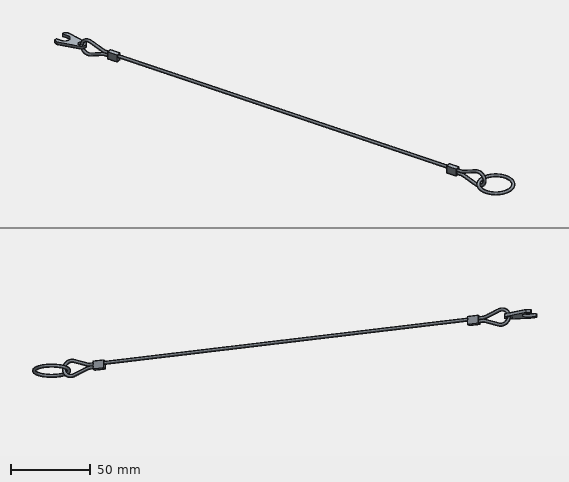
import cadquery as cq
import math

OVERALL_LENGTH = 339.28

WIRE_DIA = 2.0
LOOP_HEIGHT = 12.0
LOOP_TIP_X = 152.0
LOOP_TAPER_ANGLE = 20.5
LEG_BEND_RADIUS = 6.0

SLEEVE_LENGTH = 7.2
SLEEVE_WIDTH = 3.3
SLEEVE_HEIGHT = 5.2
SLEEVE_INNER_X = 123.5

RING_OUTER_DIA = 24.0
RING_WIRE_DIA = 2.0
RING_END_X = 171.4

FORK_THICKNESS = 2.0
FORK_HALF_WIDTH = 6.6
FORK_SHOULDER = 2.5
PRONG_TIP_HALF_WIDTH = 5.4
SLOT_WIDTH = 7.0
SLOT_DEPTH = 7.5
EYE_DIA = 3.8
EYE_DISTANCE = 16.3
EYE_END_RADIUS = 3.4

FORK_TIP_X = RING_END_X - OVERALL_LENGTH
strand_z = WIRE_DIA / 2


def polar(radius, angle):
    """Point at the given radius and angle (degrees) about the origin."""
    return radius * math.cos(math.radians(angle)), radius * math.sin(math.radians(angle))


def loop_wire():
    """Wire of the +X loop: out along the upper strand, round the tip, back along the lower one."""
    bow_radius = (LOOP_HEIGHT - WIRE_DIA) / 2
    bow_x = LOOP_TIP_X - LOOP_HEIGHT / 2
    normal_angle = 90 + LOOP_TAPER_ANGLE
    normal_x, normal_z = polar(1, normal_angle)
    leg_end = (bow_x + bow_radius * normal_x, bow_radius * normal_z)
    bend_z = strand_z + LEG_BEND_RADIUS
    leg_start_z = bend_z - LEG_BEND_RADIUS * normal_z
    leg_start_x = leg_end[0] - (leg_end[1] - leg_start_z) / math.tan(math.radians(LOOP_TAPER_ANGLE))
    bend_x = leg_start_x + LEG_BEND_RADIUS * normal_x
    mid_x, mid_z = polar(LEG_BEND_RADIUS, LOOP_TAPER_ANGLE / 2 - 90)
    bend_mid = (bend_x + mid_x, bend_z + mid_z)
    path = (
        cq.Workplane("XZ")
        .moveTo(SLEEVE_INNER_X, strand_z)
        .lineTo(bend_x, strand_z)
        .threePointArc(bend_mid, (leg_start_x, leg_start_z))
        .lineTo(*leg_end)
        .threePointArc((bow_x + bow_radius, 0), (leg_end[0], -leg_end[1]))
        .lineTo(leg_start_x, -leg_start_z)
        .threePointArc((bend_mid[0], -bend_mid[1]), (bend_x, -strand_z))
        .lineTo(SLEEVE_INNER_X, -strand_z)
    )
    return (
        cq.Workplane("YZ", origin=(SLEEVE_INNER_X, 0, strand_z))
        .circle(WIRE_DIA / 2)
        .sweep(path)
    )


def looped_end():
    """Loop and clamping sleeve of the +X end."""
    sleeve = (
        cq.Workplane("XY")
        .box(SLEEVE_LENGTH, SLEEVE_WIDTH, SLEEVE_HEIGHT)
        .translate((SLEEVE_INNER_X + SLEEVE_LENGTH / 2, 0, 0))
    )
    return sleeve.union(loop_wire())


def make_rope():
    """Straight wire with the same looped end on both sides."""
    end = looped_end()
    straight = (
        cq.Workplane("YZ", origin=(-SLEEVE_INNER_X, 0, strand_z))
        .circle(WIRE_DIA / 2)
        .extrude(2 * SLEEVE_INNER_X)
    )
    return straight.union(end).union(end.mirror("YZ"))


def make_ring():
    """Round-wire ring lying in the XY plane."""
    centre_radius = (RING_OUTER_DIA - RING_WIRE_DIA) / 2
    torus = cq.Solid.makeTorus(centre_radius, RING_WIRE_DIA / 2)
    return cq.Workplane(torus).translate((RING_END_X - RING_OUTER_DIA / 2, 0, 0))


def make_fork():
    """Flat fork: open slot between two prongs, tapering to a rounded end with an eye."""
    shoulder_distance = EYE_DISTANCE - FORK_SHOULDER
    corner_angle = math.degrees(math.atan2(FORK_HALF_WIDTH, -shoulder_distance))
    corner_distance = math.hypot(FORK_HALF_WIDTH, shoulder_distance)
    tangent_angle = corner_angle - math.degrees(math.acos(EYE_END_RADIUS / corner_distance))
    tangent_x, tangent_y = polar(EYE_END_RADIUS, tangent_angle)
    tangent_x += EYE_DISTANCE
    slot_radius = SLOT_WIDTH / 2
    slot_centre = SLOT_DEPTH - slot_radius
    plate = (
        cq.Workplane("XY")
        .moveTo(0, slot_radius)
        .lineTo(0, PRONG_TIP_HALF_WIDTH)
        .lineTo(FORK_SHOULDER, FORK_HALF_WIDTH)
        .lineTo(tangent_x, tangent_y)
        .threePointArc((EYE_DISTANCE + EYE_END_RADIUS, 0), (tangent_x, -tangent_y))
        .lineTo(FORK_SHOULDER, -FORK_HALF_WIDTH)
        .lineTo(0, -PRONG_TIP_HALF_WIDTH)
        .lineTo(0, -slot_radius)
        .lineTo(slot_centre, -slot_radius)
        .threePointArc((SLOT_DEPTH, 0), (slot_centre, slot_radius))
        .close()
        .extrude(FORK_THICKNESS / 2, both=True)
    )
    eye = (
        cq.Workplane("XY")
        .center(EYE_DISTANCE, 0)
        .circle(EYE_DIA / 2)
        .extrude(FORK_THICKNESS, both=True)
    )
    return plate.cut(eye).translate((FORK_TIP_X, 0, 0))


rope = make_rope()
ring = make_ring()
fork = make_fork()

result = cq.Compound.makeCompound([rope.val(), ring.val(), fork.val()])